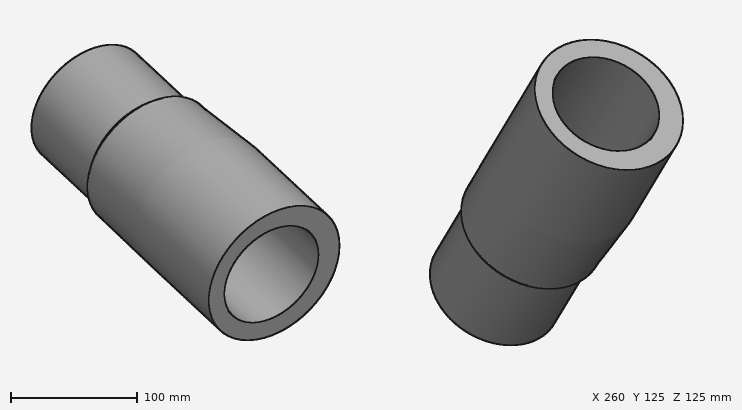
import cadquery as cq

total_length = 260.0
large_diameter = 125.0
collar_diameter = 119.9
spigot_diameter = 110.0
bore_diameter = 90.0

chamfer_start = 82.0
collar_start = 87.0
taper_start = 92.0
taper_end = 156.8

axis_offset = -(large_diameter - collar_diameter) / 2


def disc(x, diameter, y=0.0):
    """Circle normal to X, ready to extrude."""
    return cq.Workplane("YZ", origin=(x, y, 0)).circle(diameter / 2)


def cone(x_start, diameter_start, y_start, x_end, diameter_end, y_end):
    """Cone between two circles, which may have different axes."""
    wires = [
        cq.Wire.makeCircle(diameter_start / 2, cq.Vector(x_start, y_start, 0), cq.Vector(1, 0, 0)),
        cq.Wire.makeCircle(diameter_end / 2, cq.Vector(x_end, y_end, 0), cq.Vector(1, 0, 0)),
    ]
    return cq.Workplane(cq.Solid.makeLoft(wires, True))


spigot = disc(0, spigot_diameter, axis_offset).extrude(chamfer_start)
chamfer = cone(chamfer_start, spigot_diameter, axis_offset, collar_start, collar_diameter, axis_offset)
collar = disc(collar_start, collar_diameter, axis_offset).extrude(taper_start - collar_start)
taper = cone(taper_start, collar_diameter, axis_offset, taper_end, large_diameter, 0)
large_pipe = disc(taper_end, large_diameter).extrude(total_length - taper_end)

bore = disc(0, bore_diameter, axis_offset).extrude(total_length)

result = spigot.union(chamfer).union(collar).union(taper).union(large_pipe).cut(bore)